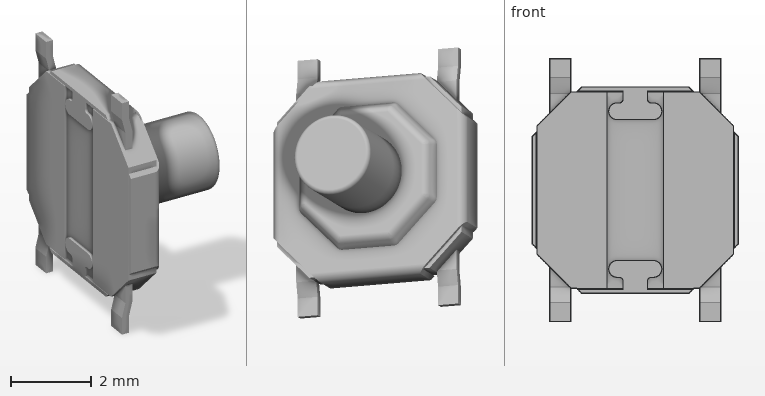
import cadquery as cq
import math


COVER_SIDE = 5.1
COVER_TOP = 0.9
SHEET = 0.1
BEND_RADIUS = 0.2
FLAP_HALF = 1.325

BASE_SIDE = 4.86
BASE_CORNER = 0.845
BASE_TOP = COVER_TOP - SHEET

CHANNEL_WIDTH = 1.39
CHANNEL_DEPTH = 0.08
TONGUE_NECK = 0.61
TONGUE_HEAD = 1.31
HEAD_HEIGHT = 0.415
HEAD_CENTER = 1.95
NECK_FILLET = 0.085

DOME_FACES = 8
DOME_BASE = 3.63
DOME_TOP = 1.195
DOME_TAPER = 30
DOME_FILLET = 0.2

STEM_DIAMETER = 2.0
STEM_TOP = 3.5
STEM_FILLET = 0.1

LEAD_WIDTH = 0.525
LEAD_CENTER = 1.85
LEAD_THICKNESS = 0.2
LEAD_RISE = 0.1
LEAD_TIP = 3.25
LEAD_OUTER_BEND = 2.78
LEAD_INNER_BEND = 2.39
LEAD_ROOT = 1.625

MARGIN = 0.065


def plane_at(y):
    """XZ plane at the given Y, extruding toward +Y, with local (x, y) = (X, -Z)."""
    return cq.Workplane(cq.Plane(origin=(0, y, 0), xDir=(1, 0, 0), normal=(0, 1, 0)))


def square_with_cut_corners(side, corner, y_end):
    block = plane_at(0).rect(side, side).extrude(y_end)
    return block.edges("|Y").chamfer(corner)


def make_cover():
    shell = plane_at(0).rect(COVER_SIDE, COVER_SIDE).extrude(COVER_TOP)
    shell = shell.faces(">Y").edges().fillet(BEND_RADIUS)
    cavity_side = COVER_SIDE - 2 * SHEET
    shell = shell.cut(plane_at(0).rect(cavity_side, cavity_side).extrude(BASE_TOP))
    corner = COVER_SIDE / 2 - FLAP_HALF
    return shell.intersect(square_with_cut_corners(COVER_SIDE, corner, COVER_TOP))


def make_base():
    base = square_with_cut_corners(BASE_SIDE, BASE_CORNER, BASE_TOP)
    channel = plane_at(0).rect(CHANNEL_WIDTH, BASE_SIDE + MARGIN).extrude(CHANNEL_DEPTH)
    return base.cut(channel)


def make_tongue():
    """T-shaped tongue reaching from the +Z flap into the channel."""
    head = plane_at(0).center(0, -HEAD_CENTER).slot2D(TONGUE_HEAD, HEAD_HEIGHT).extrude(CHANNEL_DEPTH)
    neck_length = COVER_SIDE / 2 - SHEET / 2 - HEAD_CENTER
    neck_center = HEAD_CENTER + neck_length / 2
    neck = plane_at(0).center(0, -neck_center).rect(TONGUE_NECK, neck_length).extrude(CHANNEL_DEPTH)
    shoulder = HEAD_CENTER + HEAD_HEIGHT / 2
    neck_corners = cq.selectors.BoxSelector(
        (-TONGUE_NECK / 2 - MARGIN, 0, shoulder - MARGIN),
        (TONGUE_NECK / 2 + MARGIN, CHANNEL_DEPTH, shoulder + MARGIN),
    )
    return head.union(neck).edges("|Y").edges(neck_corners).fillet(NECK_FILLET)


def make_dome():
    across_corners = DOME_BASE / math.cos(math.pi / DOME_FACES)
    half_face_angle = 180 / DOME_FACES
    dome = (
        plane_at(COVER_TOP)
        .transformed(rotate=(0, 0, half_face_angle))
        .polygon(DOME_FACES, across_corners)
        .extrude(DOME_TOP - COVER_TOP, taper=DOME_TAPER)
    )
    dome = dome.edges("not #Y").fillet(DOME_FILLET)
    return dome.faces(">Y").edges().fillet(DOME_FILLET)


def make_stem():
    stem = plane_at(COVER_TOP).circle(STEM_DIAMETER / 2).extrude(STEM_TOP - COVER_TOP)
    return stem.faces(">Y").edges().fillet(STEM_FILLET)


def make_lead():
    """Joggled terminal at +X, +Z: flat foot, sloped step and raised inner end."""
    profile = [
        (0, LEAD_TIP),
        (0, LEAD_OUTER_BEND),
        (LEAD_RISE, LEAD_INNER_BEND),
        (LEAD_RISE, LEAD_ROOT),
        (LEAD_RISE + LEAD_THICKNESS, LEAD_ROOT),
        (LEAD_RISE + LEAD_THICKNESS, LEAD_INNER_BEND),
        (LEAD_THICKNESS, LEAD_OUTER_BEND),
        (LEAD_THICKNESS, LEAD_TIP),
    ]
    start = LEAD_CENTER - LEAD_WIDTH / 2
    return cq.Workplane("YZ", origin=(start, 0, 0)).polyline(profile).close().extrude(LEAD_WIDTH)


result = make_cover().union(make_base()).union(make_dome()).union(make_stem())

tongue = make_tongue()
result = result.union(tongue).union(tongue.mirror("XY"))

lead = make_lead()
upper_leads = lead.union(lead.mirror("YZ"))
result = result.union(upper_leads).union(upper_leads.mirror("XY"))